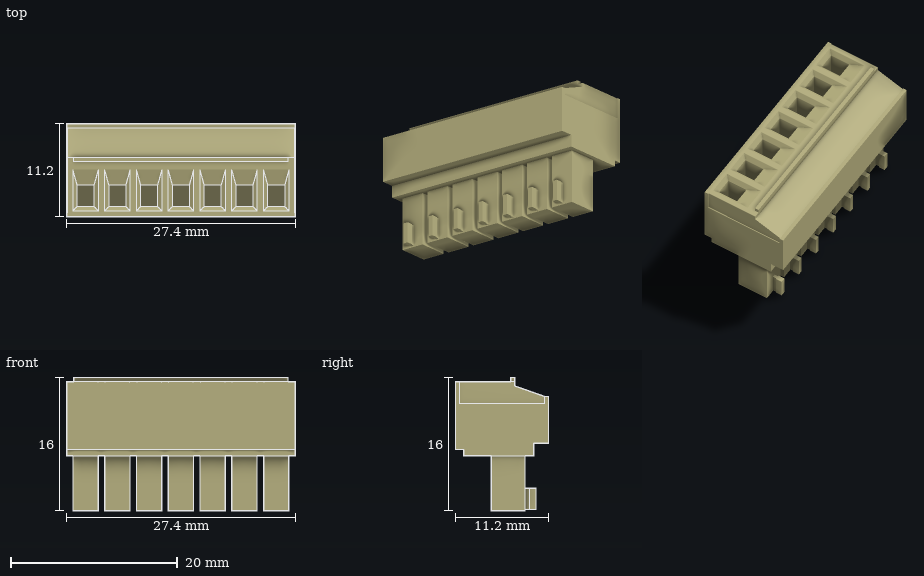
import cadquery as cq


pole_count = 7
pitch = 3.81
plug_width = 3.05
plug_gap = pitch - plug_width
length = pole_count * pitch + plug_gap

depth = 11.18
front_y = -depth / 2
back_y = depth / 2
body_bottom_z = 6.6
front_step_z = body_bottom_z + 0.75
back_step_z = body_bottom_z + 1.5
back_top_z = 13.75
slope_top_z = 15.0
body_top_z = 15.5

front_step_depth = 1.0
back_step_depth = 1.75
slope_start_y = back_y - 0.5
slope_end_y = back_y - 4.05

ridge_thickness = 0.5
ridge_height = 0.5
ridge_end_margin = 0.85

recess_depth = 0.1
recess_border = 0.5
recess_bottom_z = 12.9

well_width = plug_width
well_front_y = front_y + 0.72
well_back_y = front_y + 5.62
funnel_depth = 0.5
funnel_side_inset = 0.5
funnel_front_inset = 0.52
funnel_back_inset = 1.81
shaft_depth = 4.5

plug_back_y = back_y - 2.81
plug_depth = 4.06
key_bottom_z = 0.16
key_height = 2.58
key_neck_width = 0.4
key_neck_depth = 0.5
key_head_width = 0.6
key_head_depth = 0.83


def box(x_center, width, y_min, y_max, z_min, z_max):
    """Box centred on x_center with the given Y and Z limits."""
    blank = cq.Workplane("XY").box(width, y_max - y_min, z_max - z_min, centered=(True, False, False))
    return blank.translate((x_center, y_min, z_min))


def make_body():
    """Stepped housing profile extruded along the row."""
    profile = [
        (front_y, body_top_z),
        (slope_end_y, body_top_z),
        (slope_end_y, slope_top_z),
        (slope_start_y, back_top_z),
        (back_y, back_top_z),
        (back_y, back_step_z),
        (back_y - back_step_depth, back_step_z),
        (back_y - back_step_depth, body_bottom_z),
        (front_y + front_step_depth, body_bottom_z),
        (front_y + front_step_depth, front_step_z),
        (front_y, front_step_z),
    ]
    return cq.Workplane("YZ").polyline(profile).close().extrude(length / 2, both=True)


def make_ridge():
    """Thin bar standing on the rear edge of the top face."""
    return box(
        0,
        length - 2 * ridge_end_margin,
        slope_end_y - ridge_thickness,
        slope_end_y,
        body_top_z,
        body_top_z + ridge_height,
    )


def make_end_recess(side):
    """Cutter for the recess, open at the top, in the end face on the given side (-1 or 1)."""
    return box(
        side * (length - recess_depth) / 2,
        recess_depth,
        front_y + recess_border,
        back_y - recess_border,
        recess_bottom_z,
        body_top_z,
    )


def make_well(x):
    """Cutter for one well: a funnel with unequal flares above a straight shaft."""
    shaft_width = well_width - 2 * funnel_side_inset
    shaft_front_y = well_front_y + funnel_front_inset
    shaft_back_y = well_back_y - funnel_back_inset
    shaft_top_z = body_top_z - funnel_depth
    shaft_center_y = (shaft_front_y + shaft_back_y) / 2
    mouth_center_y = (well_front_y + well_back_y) / 2
    funnel = (
        cq.Workplane("XY", origin=(x, 0, shaft_top_z))
        .center(0, shaft_center_y)
        .rect(shaft_width, shaft_back_y - shaft_front_y)
        .workplane(offset=funnel_depth)
        .center(0, mouth_center_y - shaft_center_y)
        .rect(well_width, well_back_y - well_front_y)
        .loft(ruled=True)
    )
    shaft = box(x, shaft_width, shaft_front_y, shaft_back_y, shaft_top_z - shaft_depth, shaft_top_z)
    return funnel.union(shaft)


def make_plug(x):
    """One plug below the body with its coding key on the back face."""
    plug = box(x, plug_width, plug_back_y - plug_depth, plug_back_y, 0, body_bottom_z)
    key_top_z = key_bottom_z + key_height
    neck_back_y = plug_back_y + key_neck_depth
    head_back_y = neck_back_y + key_head_depth
    neck = box(x, key_neck_width, plug_back_y, neck_back_y, key_bottom_z, key_top_z)
    head = box(x, key_head_width, neck_back_y, head_back_y, key_bottom_z, key_top_z)
    return plug.union(neck).union(head)


result = make_body().union(make_ridge())
for side in (-1, 1):
    result = result.cut(make_end_recess(side))
for pole in range(pole_count):
    pole_x = (pole - (pole_count - 1) / 2) * pitch
    result = result.cut(make_well(pole_x))
    result = result.union(make_plug(pole_x))